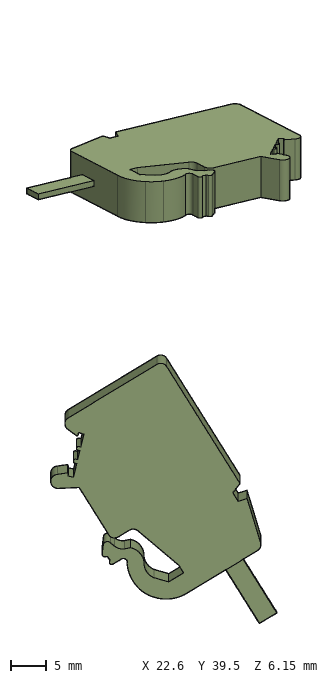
import cadquery as cq
import math

total_length = 39.52
thickness = 6.15
pin_length = 9.45
housing_height = total_length - pin_length
body_right = 19.52
shelf_y = 11.9
corner_radius = 1.0

pin_left = 5.57
pin_width = 2.9
pin_thickness = 0.85
pin_overlap = 0.4

seat_top = (14.98, 26.9)
seat_length = 6.3
seat_drop = seat_length * math.sin(math.radians(45))
seat_bottom = (seat_top[0] + seat_drop, seat_top[1] - seat_drop)
rib_positions = (2.15, 4.0)
rib_width = 0.6
rib_height = 0.55

bend_start = (14.4, 0)
bend_lower = (18.7, 1.8)
bend_upper = (19.9, 4.05)
bend_end = (19.52, 8.0)

top_left = (0, housing_height)
bottom_left = (2.17, 0)
shelf_outer = (body_right, shelf_y)
shelf_inner = (15.95, shelf_y)


def extrude(outline):
    """Close an outline and extrude it through the full housing thickness."""
    return outline.close().extrude(thickness / 2, both=True)


def make_housing():
    outline = (
        cq.Workplane("XY")
        .moveTo(*top_left)
        .lineTo(15.65, housing_height)
        .threePointArc((16.45, 29.6), (16.5, 28.7))
        .lineTo(15.93, 27.23)
        .lineTo(15.73, 27.23)
        .lineTo(15.45, 27.5)
        .lineTo(*seat_top)
        .lineTo(*seat_bottom)
        .lineTo(20.0, 23.05)
        .lineTo(19.8, 23.2)
        .lineTo(19.8, 23.45)
        .lineTo(21.1, 24.0)
        .threePointArc((22.55, 23.4), (22.1, 22.2))
        .lineTo(body_right, 20.8)
        .lineTo(*shelf_outer)
        .lineTo(*shelf_inner)
        .lineTo(13.45, 4.0)
        .lineTo(13.45, 2.73)
        .lineTo(15.9, 2.73)
        .lineTo(17.35, 4.35)
        .threePointArc((17.75, 5.45), (17.6, 6.52))
        .threePointArc((17.15, 8.25), (17.9, 9.72))
        .lineTo(18.7, 10.0)
        .threePointArc((19.35, 10.5), (19.7, 11.05))
        .lineTo(19.9, 11.78)
        .threePointArc((20.3, 12.2), (20.9, 12.05))
        .lineTo(21.7, 11.05)
        .threePointArc((21.8, 10.75), (21.65, 10.47))
        .lineTo(21.3, 10.3)
        .lineTo(21.3, 9.65)
        .threePointArc((21.55, 9.4), (21.2, 8.97))
        .lineTo(20.0, 8.97)
        .threePointArc((19.35, 8.7), bend_end)
        .threePointArc((20.08, 6.05), bend_upper)
        .threePointArc((19.45, 2.85), bend_lower)
        .threePointArc((16.75, 0.45), bend_start)
        .lineTo(*bottom_left)
        .lineTo(0.28, 7.1)
        .lineTo(1.55, 7.43)
        .lineTo(1.55, 8.85)
        .lineTo(0, 9.45)
    )
    housing = extrude(outline)
    for x, y in (top_left, bottom_left, shelf_outer, shelf_inner):
        corner = cq.selectors.NearestToPointSelector((x, y, 0))
        housing = housing.edges(corner).fillet(corner_radius)
    return housing


def make_rib(distance):
    """Round-topped rib at a distance down the marker seat."""
    seat_plane = cq.Plane(origin=(*seat_top, 0), xDir=(1, -1, 0), normal=(0, 0, 1))
    half_width = rib_width / 2
    straight_height = rib_height - half_width
    outline = (
        cq.Workplane(seat_plane)
        .moveTo(distance - half_width, -half_width)
        .lineTo(distance - half_width, straight_height)
        .threePointArc((distance, rib_height), (distance + half_width, straight_height))
        .lineTo(distance + half_width, -half_width)
    )
    return extrude(outline)


def make_pin():
    return cq.Workplane("XY").box(
        pin_width, pin_length + pin_overlap, pin_thickness, centered=(False, False, True)
    ).translate((pin_left, -pin_length, 0))


result = make_housing().union(make_pin())
for rib_position in rib_positions:
    result = result.union(make_rib(rib_position))